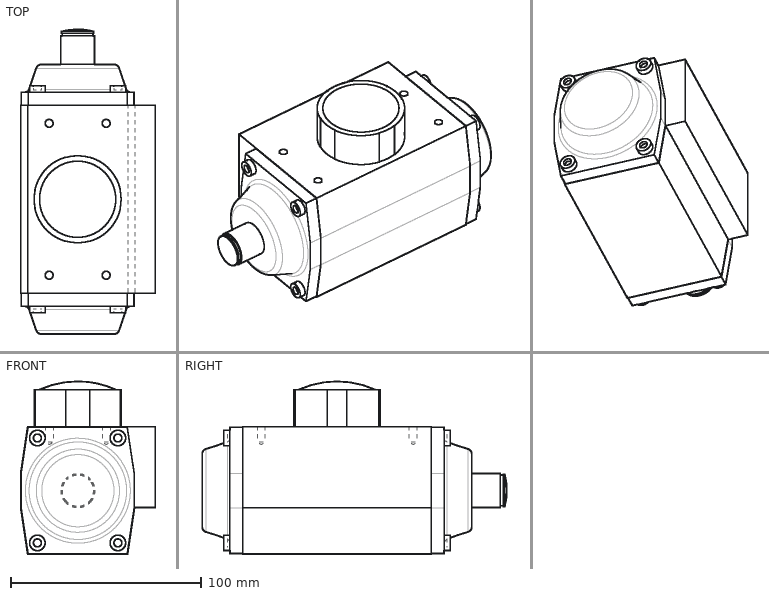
import cadquery as cq
import math

body_length = 99.0
body_height = 67.1
body_edge_width = 52.6
waist_width = 60.0
waist_height = 18.0
body_top = body_height / 2

block_reach = 41.0
block_bottom = -waist_height / 2

cover_thickness = 6.9
cover_inset = 0.24
cover_face = body_length / 2 + cover_thickness

cap_height = 14.6
cap_base_radius = 26.2
cap_taper = 18.7
cap_end_fillet = 3.0
cap_root_fillet = 2.1
cap_face = cover_face + cap_height

screw_diameter = 8.2
screw_height = 3.2
screw_spacing_x = 42.4
screw_spacing_z = 55.2
socket_diameter = 4.2
socket_depth = 2.0

shaft_end = 89.48
shaft_radius = 18.0 / 2
collar_radius = 17.0 / 2
groove_depth = 0.3
groove_width = 1.5
collar_width = 1.0
crown_height = 1.1

neck_diameter = 46.0
neck_height = 19.6
neck_top = body_top + neck_height
relief_diameter = 45.7
relief_width_y = 10.1
relief_width_x = 12.5
dome_rim_radius = 20.0
dome_height = 4.3

hole_diameter = 4.2
hole_depth = 8.0
hole_spacing_x = 30.0
hole_spacing_y = 80.0
hole_point_angle = 118


def sphere_radius(rim_radius, height):
    """Radius of the sphere whose cap has the given rim radius and height."""
    return (rim_radius ** 2 + height ** 2) / (2 * height)


def flanked_prism(length, inset=0):
    """Body section along Y, centred on the origin and shrunk by inset on every side."""
    half_edge = body_edge_width / 2 - inset
    half_waist = waist_width / 2 - inset
    half_height = body_height / 2 - inset
    right_side = [
        (half_edge, half_height),
        (half_waist, waist_height / 2),
        (half_waist, -waist_height / 2),
        (half_edge, -half_height),
    ]
    left_side = [(-x, z) for x, z in reversed(right_side)]
    return cq.Workplane("XZ").polyline(right_side + left_side).close().extrude(length / 2, both=True)


def mounting_block():
    block = cq.Workplane("XY").box(
        block_reach, body_length, body_top - block_bottom, centered=(False, True, False)
    )
    return block.translate((0, 0, block_bottom))


def end_cap():
    """Tapered cap on the +Y cover, rounded at its end and flared at its root."""
    taper = math.radians(cap_taper)
    end_radius = cap_base_radius - cap_height * math.tan(taper)
    root_tangent_length = cap_root_fillet * math.tan((math.pi / 2 - taper) / 2)
    flare_radius = cap_base_radius + root_tangent_length
    flare_end = (
        cap_base_radius - root_tangent_length * math.sin(taper),
        cover_face + root_tangent_length * math.cos(taper),
    )
    cap = (
        cq.Workplane("XY")
        .moveTo(0, cover_face)
        .lineTo(flare_radius, cover_face)
        .radiusArc(flare_end, cap_root_fillet)
        .lineTo(end_radius, cap_face)
        .lineTo(0, cap_face)
        .close()
        .revolve(360, (0, 0, 0), (0, 1, 0))
    )
    return cap.faces(">Y").edges().fillet(cap_end_fillet)


def cover_screws():
    """Four socket screw heads on the +Y cover."""
    face = cq.Workplane("XZ", origin=(0, cover_face, 0))
    heads = (
        face.rarray(screw_spacing_x, screw_spacing_z, 2, 2)
        .circle(screw_diameter / 2)
        .extrude(-screw_height)
    )
    sockets = (
        face.workplane(offset=-screw_height)
        .rarray(screw_spacing_x, screw_spacing_z, 2, 2)
        .circle(socket_diameter / 2)
        .extrude(socket_depth)
    )
    return heads.cut(sockets)


def shaft():
    collar_end = shaft_end - crown_height
    collar_start = collar_end - collar_width
    groove_start = collar_start - groove_width
    groove_radius = collar_radius - groove_depth
    return (
        cq.Workplane("XY")
        .moveTo(0, cover_face)
        .lineTo(shaft_radius, cover_face)
        .lineTo(shaft_radius, groove_start)
        .lineTo(groove_radius, groove_start)
        .lineTo(groove_radius, collar_start)
        .lineTo(collar_radius, collar_start)
        .lineTo(collar_radius, collar_end)
        .radiusArc((0, shaft_end), -sphere_radius(collar_radius, crown_height))
        .close()
        .revolve(360, (0, 0, 0), (0, 1, 0))
    )


def indicator():
    neck_radius = neck_diameter / 2
    neck = (
        cq.Workplane("XZ")
        .moveTo(0, body_top)
        .lineTo(neck_radius, body_top)
        .lineTo(neck_radius, neck_top)
        .lineTo(dome_rim_radius, neck_top)
        .radiusArc((0, neck_top + dome_height), -sphere_radius(dome_rim_radius, dome_height))
        .close()
        .revolve(360, (0, 0, 0), (0, 1, 0))
    )
    base = cq.Workplane("XY", origin=(0, 0, body_top))
    bands = (
        base.rect(2 * neck_diameter, relief_width_y)
        .extrude(neck_height)
        .union(base.rect(relief_width_x, 2 * neck_diameter).extrude(neck_height))
    )
    relief_core = base.circle(relief_diameter / 2).extrude(neck_height)
    return neck.cut(bands.cut(relief_core))


def top_holes():
    """Drill shapes with conical points for the blind holes."""
    radius = hole_diameter / 2
    bottom = body_top - hole_depth
    point = bottom - radius / math.tan(math.radians(hole_point_angle / 2))
    drill = (
        cq.Workplane("XZ")
        .polyline([(0, body_top), (radius, body_top), (radius, bottom), (0, point)])
        .close()
        .revolve(360, (0, 0, 0), (0, 1, 0))
    )
    spots = cq.Workplane("XY").rarray(hole_spacing_x, hole_spacing_y, 2, 2)
    return spots.eachpoint(lambda spot: drill.val().moved(spot), combine=False)


result = flanked_prism(body_length).union(flanked_prism(2 * cover_face, cover_inset))
result = result.union(mounting_block())
for end_part in (end_cap(), cover_screws()):
    result = result.union(end_part).union(end_part.mirror("XZ"))
result = result.union(shaft()).union(indicator()).cut(top_holes())